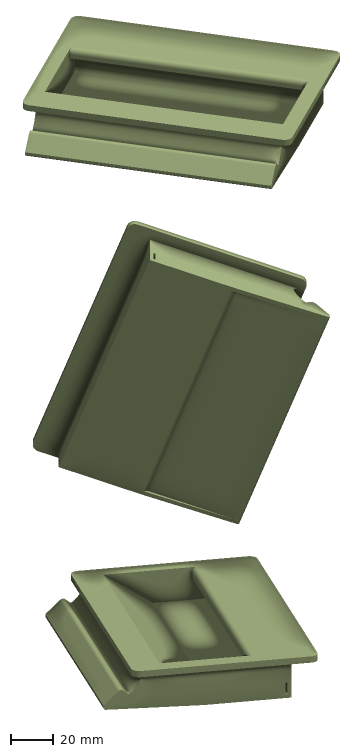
import cadquery as cq
import math

plate_width = 133.0
plate_depth = 91.0
plate_thickness = 3.2
plate_corner_radius = 4.0
height = 22.5
plate_front = 13.0
plate_bottom = height - plate_thickness

body_width = 121.5
body_back = 91.8
underside_bend = 49.2
tip_bottom = 1.9
tip_round = 1.2
tip_top = 4.1
hump_peak_y = 8.5
hump_peak_z = 12.0
hump_radius = 2.1
groove_bottom_y = 12.4
groove_bottom_z = 8.6
groove_wall = 18.6
groove_wall_z = 16.6
groove_upper_radius = 2.7
groove_lower_bulge = 0.8
groove_bottom_radius = 0.7

rail_width = 2.0
recess_ramp_length = tip_bottom

pocket_width = 117.6
pocket_front = 27.8
floor_front = 51.9
floor_z = 5.9
cove_radius = 2.7
undercut_back = 80.5
lip_front = 70.8
lip_radius = 2.7
lip_thickness = 4.7

slot_center_y = 89.4
slot_width = 0.9
slot_bottom = 2.1
slot_top = 7.8

corner_sine = math.sin(math.radians(45))


def extrude_across(profile, width):
    """Extrude a closed YZ profile symmetrically about X = 0."""
    return profile.close().extrude(width / 2, both=True)


def round_edge_at(solid, y, z, radius):
    """Fillet the edge along X that passes through the given YZ point."""
    edge = cq.selectors.NearestToPointSelector((0, y, z))
    return solid.edges("|X").edges(edge).fillet(radius)


def make_plate():
    return (
        cq.Workplane("XY")
        .box(plate_width, plate_depth, plate_thickness, centered=(True, False, False))
        .edges("|Z")
        .fillet(plate_corner_radius)
        .translate((0, plate_front, plate_bottom))
    )


def make_body():
    """Body whose front has a finger groove and a sloped latch nose."""
    upper_rise = plate_bottom - groove_wall_z
    upper_angle = math.asin(upper_rise / groove_upper_radius)
    upper_center_y = groove_wall - groove_upper_radius
    upper_end_y = upper_center_y + groove_upper_radius * math.cos(upper_angle)
    upper_mid = (
        upper_center_y + groove_upper_radius * math.cos(upper_angle / 2),
        groove_wall_z + groove_upper_radius * math.sin(upper_angle / 2),
    )

    chord_y = groove_wall - groove_bottom_y
    chord_z = groove_wall_z - groove_bottom_z
    chord = math.hypot(chord_y, chord_z)
    lower_mid = (
        (groove_wall + groove_bottom_y) / 2 + groove_lower_bulge * chord_z / chord,
        (groove_wall_z + groove_bottom_z) / 2 - groove_lower_bulge * chord_y / chord,
    )

    tip_mid = (tip_round * (1 - corner_sine), tip_bottom + tip_round * (1 - corner_sine))
    profile = (
        cq.Workplane("YZ")
        .moveTo(body_back, 0)
        .lineTo(underside_bend, 0)
        .lineTo(tip_round, tip_bottom)
        .threePointArc(tip_mid, (0, tip_bottom + tip_round))
        .lineTo(0, tip_top)
        .lineTo(hump_peak_y, hump_peak_z)
        .lineTo(groove_bottom_y, groove_bottom_z)
        .threePointArc(lower_mid, (groove_wall, groove_wall_z))
        .threePointArc(upper_mid, (upper_end_y, plate_bottom))
        .lineTo(upper_end_y, height)
        .lineTo(body_back, height)
    )
    body = extrude_across(profile, body_width)
    body = round_edge_at(body, hump_peak_y, hump_peak_z, hump_radius)
    return round_edge_at(body, groove_bottom_y, groove_bottom_z, groove_bottom_radius)


def make_pocket():
    """Pocket with a sloped front, a coved undercut and a rounded rear lip."""
    lip_bottom = height - lip_thickness
    cove_mid = (
        undercut_back - cove_radius * (1 - corner_sine),
        floor_z + cove_radius * (1 - corner_sine),
    )
    lip_mid = (
        lip_front + lip_radius * (1 - corner_sine),
        height - lip_radius * (1 - corner_sine),
    )
    profile = (
        cq.Workplane("YZ")
        .moveTo(pocket_front, height)
        .lineTo(floor_front, floor_z)
        .lineTo(undercut_back - cove_radius, floor_z)
        .threePointArc(cove_mid, (undercut_back, floor_z + cove_radius))
        .lineTo(undercut_back, lip_bottom)
        .lineTo(lip_front, lip_bottom)
        .lineTo(lip_front, height - lip_radius)
        .threePointArc(lip_mid, (lip_front + lip_radius, height))
    )
    return extrude_across(profile, pocket_width)


def make_nose_recess():
    """Level-roofed recess that ramps down to the flat underside at its back."""
    profile = (
        cq.Workplane("YZ")
        .moveTo(tip_round, tip_bottom)
        .lineTo(underside_bend - recess_ramp_length, tip_bottom)
        .lineTo(underside_bend, 0)
        .lineTo(tip_round, 0)
    )
    return extrude_across(profile, body_width - 2 * rail_width)


def make_cross_slot():
    return (
        cq.Workplane("XY")
        .box(body_width, slot_width, slot_top - slot_bottom, centered=(True, True, False))
        .translate((0, slot_center_y, slot_bottom))
    )


result = (
    make_plate()
    .union(make_body())
    .cut(make_pocket())
    .cut(make_nose_recess())
    .cut(make_cross_slot())
)